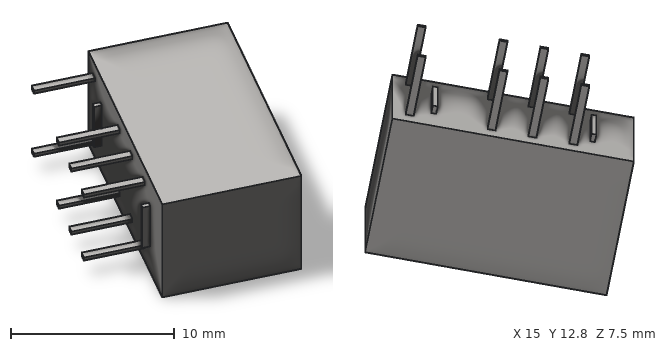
import cadquery as cq

body_length = 15.0
body_depth = 8.9
body_height = 7.5

grid = 2.54
pin_width = 0.5
pin_thickness = 0.25
pin_length = 3.9
first_pin_inset = 1.08
pin_grid_steps = (0, 2, 3, 4)
row_spacing = 2 * grid

rib_width = 0.3
rib_height = 3.25
rib_length = 0.5
rib_spacing = 9.85


def make_body():
    """Plain block with its pin face on the plane Y = 0."""
    return cq.Workplane("XY").box(body_length, body_depth, body_height, centered=(True, False, True))


def bars_from_pin_face(centers, width, height, length):
    """Rectangular bars standing out from the pin face toward -Y at (X, Z) centers."""
    return cq.Workplane("XZ").pushPoints(centers).rect(width, height).extrude(length)


first_pin_x = -body_length / 2 + first_pin_inset
pin_centers = [
    (first_pin_x + step * grid, side * row_spacing / 2)
    for step in pin_grid_steps
    for side in (-1, 1)
]
rib_centers = [(side * rib_spacing / 2, 0) for side in (-1, 1)]

pins = bars_from_pin_face(pin_centers, pin_width, pin_thickness, pin_length)
ribs = bars_from_pin_face(rib_centers, rib_width, rib_height, rib_length)

result = make_body().union(pins).union(ribs)